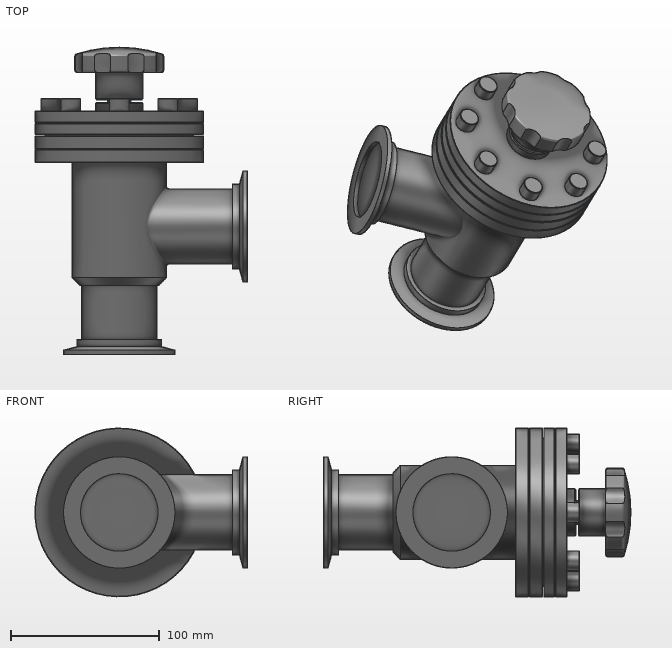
import cadquery as cq
import math


port_reach = 86.3
pipe_radius = 25.4
rim_radius = 37.5
rim_thickness = 3.0
neck_radius = 28.6
neck_length = 10.2
rim_taper = math.radians(15)
recess_radius = 26.1
recess_depth = 3.0

body_radius = 31.75
body_low = -34.5
cone_length = 5.1
cone_end_radius = 26.6
branch_fillet = 1.5
seam_margin = 1.0

flange_radius = 56.8
stack_low = 43.1
stack_top = 77.6
groove_radius = 50.0
grooves = [(51.8, 52.3), (61.0, 62.0), (69.3, 69.9)]
flange_chamfer = 0.3

screw_count = 8
screw_circle_radius = 46.1
screw_head_radius = 6.65
screw_head_height = 8.6
screw_head_chamfer = 0.4

stem_radius = 8.0
hub_radius = 16.0
hub_chamfer = 0.8
collar_top = 83.6
hub_low = 85.3
knob_low = 103.6
knob_edge = 115.8
knob_top = 120.7
knob_radius = 30.0
knob_round = 1.8
scallop_count = 8
scallop_radius = 10.3
scallop_circle_radius = 38.0


def disc(radius, low, high):
    """Cylinder about the body axis between two Y positions."""
    return cq.Workplane("XZ", origin=(0, low, 0)).circle(radius).extrude(low - high)


def port(plane):
    """Pipe, neck, tapered rim and centring recess, along the plane's local Y."""
    taper_length = (rim_radius - neck_radius) * math.tan(rim_taper)
    rim_back = port_reach - rim_thickness
    neck_back = port_reach - neck_length
    recess_floor = port_reach - recess_depth
    profile = cq.Workplane(plane).polyline([
        (0, 0),
        (pipe_radius, 0),
        (pipe_radius, neck_back),
        (neck_radius, neck_back),
        (neck_radius, rim_back - taper_length),
        (rim_radius, rim_back),
        (rim_radius, port_reach),
        (recess_radius, port_reach),
        (recess_radius, recess_floor),
        (0, recess_floor),
    ]).close()
    return profile.revolve(360, (0, 0, 0), (0, 1, 0))


def body():
    """Main barrel, tapered at the inlet end, joined to both ports."""
    barrel = cq.Workplane("XY").polyline([
        (0, body_low - cone_length),
        (cone_end_radius, body_low - cone_length),
        (body_radius, body_low),
        (body_radius, stack_low),
        (0, stack_low),
    ]).close().revolve(360, (0, 0, 0), (0, 1, 0))
    branch = port(cq.Plane(origin=(0, 0, 0), xDir=(0, -1, 0), normal=(0, 0, 1)))
    inlet = port(cq.Plane(origin=(0, 0, 0), xDir=(1, 0, 0), normal=(0, 0, -1)))
    tee = barrel.union(branch)
    seam_reach = pipe_radius + seam_margin
    seam_box = cq.selectors.BoxSelector(
        (seam_margin, -seam_reach, -seam_reach),
        (body_radius + seam_margin, seam_reach, seam_reach),
        boundingbox=True,
    )
    return tee.edges(seam_box).fillet(branch_fillet).union(inlet)


def flange_stack():
    """Four chamfered discs, separated by grooves around a common core."""
    stack = disc(groove_radius, stack_low, stack_top)
    lows = [stack_low] + [high for low, high in grooves]
    highs = [low for low, high in grooves] + [stack_top]
    for low, high in zip(lows, highs):
        stack = stack.union(disc(flange_radius, low, high).edges().chamfer(flange_chamfer))
    return stack


def screw_heads():
    """Ring of cap screw heads on top of the flange stack."""
    return (
        cq.Workplane("XZ", origin=(0, stack_top, 0))
        .polarArray(screw_circle_radius, 0, 360, screw_count)
        .circle(screw_head_radius)
        .extrude(-screw_head_height)
        .faces(">Y")
        .chamfer(screw_head_chamfer)
    )


def hub_and_collar():
    """Collar on the flange, stem, and the knob's hub above it."""
    collar = disc(hub_radius, stack_top, collar_top).faces(">Y").chamfer(hub_chamfer)
    hub = disc(hub_radius, hub_low, knob_low).faces("<Y").chamfer(hub_chamfer)
    stem = disc(stem_radius, stack_top, knob_low)
    return stem.union(collar).union(hub)


def knob():
    """Domed hand knob with rounded edges and scallops cut around its rim."""
    dome_height = knob_top - knob_edge
    dome_radius = (knob_radius**2 + dome_height**2) / (2 * dome_height)
    half_angle = math.asin(knob_radius / dome_radius) / 2
    dome_centre = knob_top - dome_radius
    dome_mid = (dome_radius * math.sin(half_angle), dome_centre + dome_radius * math.cos(half_angle))
    blank = (
        cq.Workplane("XY")
        .moveTo(0, knob_low)
        .lineTo(knob_radius, knob_low)
        .lineTo(knob_radius, knob_edge)
        .threePointArc(dome_mid, (0, knob_top))
        .close()
        .revolve(360, (0, 0, 0), (0, 1, 0))
        .edges("%CIRCLE")
        .fillet(knob_round)
    )
    half_pitch = 180 / scallop_count
    scallops = (
        cq.Workplane("XZ", origin=(0, knob_low, 0))
        .polarArray(scallop_circle_radius, half_pitch, 360, scallop_count)
        .circle(scallop_radius)
        .extrude(knob_low - knob_top)
    )
    return blank.cut(scallops)


result = (
    body()
    .union(flange_stack())
    .union(screw_heads())
    .union(hub_and_collar())
    .union(knob())
)